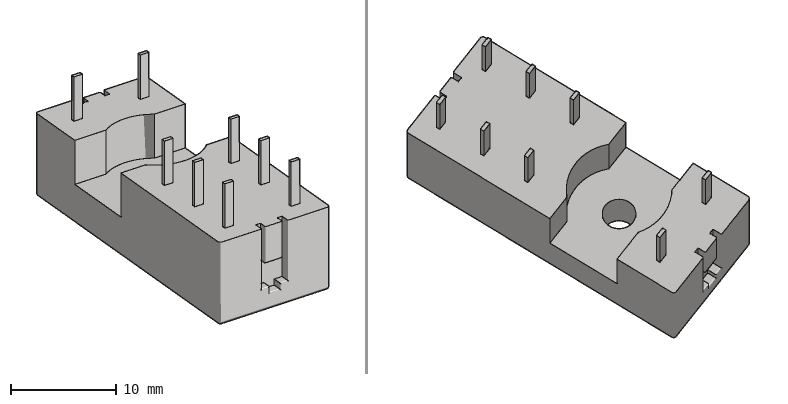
import cadquery as cq

length = 31.0
width = 12.7
total_height = 13.8
pin_height = 4.8
body_height = total_height - pin_height
edge_radius = 0.3

channel_start = 6.63
channel_width = 7.75
channel_depth = 4.77
screw_x = 10.8
pocket_diameter = 10.0
screw_hole_diameter = 3.2

pin_thickness = 0.4
pin_width = 1.0
pin_pitch = 5.08
pin_row_spacing = 7.63
first_pin_x = 3.3
pin_positions = (0, 3, 4, 5)

slot_width = 3.0
slot_height = 6.55
slot_depth = 1.0
foot_width = 1.2
foot_height = 0.65
tongue_width = 1.95
tongue_height = 3.97
tongue_setback = 0.15
latch_radius = 0.11


def box(x_start, x_size, y_size, z_bottom, z_top):
    """Box centred on the XZ plane."""
    solid = cq.Workplane("XY").box(x_size, y_size, z_top - z_bottom, centered=(False, True, False))
    return solid.translate((x_start, 0, z_bottom))


def make_body():
    body = box(0, length, width, 0, body_height)
    return body.edges("|Z").fillet(edge_radius).faces("<Z").edges().fillet(edge_radius)


def make_channel():
    floor = body_height - channel_depth
    channel = box(channel_start, channel_width, width, floor, body_height)
    pocket = cq.Workplane("XY").cylinder(channel_depth, pocket_diameter / 2, centered=(True, True, False))
    hole = cq.Workplane("XY").cylinder(body_height, screw_hole_diameter / 2, centered=(True, True, False))
    return channel.union(pocket.translate((screw_x, 0, floor))).union(hole.translate((screw_x, 0, 0)))


def make_latch_recess():
    """Stepped slot in the X = 0 end face, as the solid to remove."""
    slot_floor = body_height - slot_height
    slot = box(0, slot_depth, slot_width, slot_floor, body_height)
    foot = box(0, slot_depth, foot_width, slot_floor - foot_height, body_height)
    return slot.union(foot)


def make_tongue():
    """Tongue standing in the latch slot, rounded at the front sides and bottom."""
    tongue_bottom = body_height - tongue_height
    tongue = box(tongue_setback, slot_depth - tongue_setback, tongue_width, tongue_bottom, body_height)
    return tongue.faces("<X").edges("not >Z").fillet(latch_radius)


def round_slot_mouths(body):
    """Round the slot edges where they meet the two end faces."""
    foot_bottom = body_height - slot_height - foot_height
    margin = edge_radius / 2
    for end_x in (0, length):
        mouth = cq.selectors.BoxSelector(
            (end_x - margin, -slot_width / 2 - margin, foot_bottom - margin),
            (end_x + margin, slot_width / 2 + margin, body_height - margin),
        )
        body = body.edges(mouth).fillet(latch_radius)
    return body


def at_both_ends(solid):
    """Solid at the X = 0 end together with its mirror image at the other end."""
    return solid.union(solid.mirror("YZ").translate((length, 0, 0)))


def make_pins():
    pins = cq.Workplane("XY").workplane(offset=body_height)
    pins = pins.pushPoints(
        [
            (first_pin_x + position * pin_pitch, side * pin_row_spacing / 2)
            for position in pin_positions
            for side in (-1, 1)
        ]
    )
    return pins.rect(pin_thickness, pin_width).extrude(pin_height)


slotted_body = round_slot_mouths(make_body().cut(at_both_ends(make_latch_recess())))
result = slotted_body.union(at_both_ends(make_tongue())).cut(make_channel()).union(make_pins())